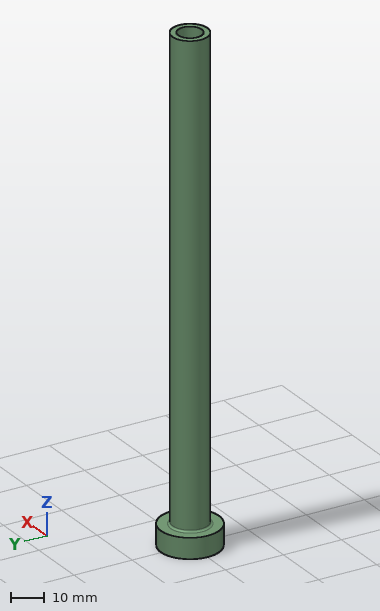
import cadquery as cq

total_length = 167.0
head_diameter = 20.0
head_height = 7.0
tube_diameter = 12.0
bore_diameter = 8.0
root_fillet = 0.7

head_radius = head_diameter / 2
tube_radius = tube_diameter / 2
bore_radius = bore_diameter / 2

half_section = (
    cq.Workplane("XZ")
    .moveTo(bore_radius, 0)
    .lineTo(head_radius, 0)
    .lineTo(head_radius, head_height)
    .lineTo(tube_radius + root_fillet, head_height)
    .radiusArc((tube_radius, head_height + root_fillet), root_fillet)
    .lineTo(tube_radius, total_length)
    .lineTo(bore_radius, total_length)
    .close()
)

result = half_section.revolve(360, (0, 0, 0), (0, 1, 0))